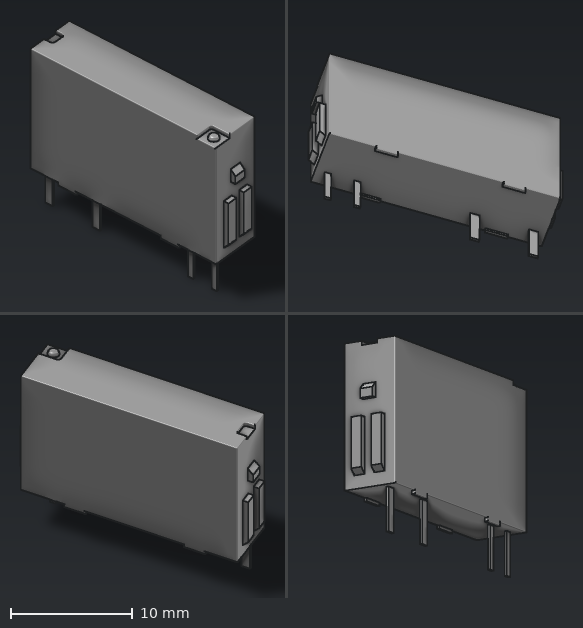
import cadquery as cq
import math

CASE_LENGTH = 20.0
CASE_WIDTH = 5.0
CASE_HEIGHT = 12.5
EDGE_RADIUS = 0.1

END_PROJECTION = 0.5
TAB_WIDTH = 1.2
TAB_BOTTOM = 7.5
TAB_HEIGHT = 1.3
RIB_WIDTH = 1.0
RIB_SPACING = 1.95
RIB_BOTTOM = 1.15
RIB_HEIGHT = 4.85

FOOT_LENGTH = 1.97
FOOT_THICKNESS = 0.3
FOOT_HEIGHT = 0.3
FOOT_CENTERS_X = (-6.03, 5.0)

RECESS_DEPTH = 0.4
RECESS_RADIUS = 0.3
CORNER_RECESS_LENGTH = 2.0
CORNER_RECESS_WIDTH = 1.78
END_RECESS_LENGTH = 0.99
END_RECESS_WIDTH = 1.47

BUTTON_RADIUS = 0.5
BUTTON_CROWN_RADIUS = 0.1
BUTTON_CENTER_X = 9.0
BUTTON_CENTER_Y = -1.58

PIN_PITCH = 2.55
PIN_THICKNESS = 0.2
PIN_LENGTH = 3.8
PIN_Y = -1.3
PIN_EMBED = 0.2
WIDE_PIN = 0.8
NARROW_PIN = 0.55
PINS = ((-3.5, WIDE_PIN), (-1.5, WIDE_PIN), (2.5, NARROW_PIN), (3.5, NARROW_PIN))

END_X = CASE_LENGTH / 2
SIDE_Y = CASE_WIDTH / 2
RECESS_FLOOR_Z = CASE_HEIGHT - RECESS_DEPTH


def block(x_range, y_range, z_range):
    """Box spanning the given (low, high) range on each axis."""
    lows, highs = zip(x_range, y_range, z_range)
    sizes = [high - low for low, high in zip(lows, highs)]
    return cq.Workplane("XY").box(*sizes, centered=False).translate(lows)


def make_case():
    """Case with feet and top recesses, rounded around the top and both long sides."""
    case = block((-END_X, END_X), (-SIDE_Y, SIDE_Y), (0, CASE_HEIGHT))

    for center_x in FOOT_CENTERS_X:
        foot_x = (center_x - FOOT_LENGTH / 2, center_x + FOOT_LENGTH / 2)
        for foot_y in ((-SIDE_Y, FOOT_THICKNESS - SIDE_Y), (SIDE_Y - FOOT_THICKNESS, SIDE_Y)):
            case = case.union(block(foot_x, foot_y, (-FOOT_HEIGHT, 0)))
    case = case.clean()

    recess_z = (RECESS_FLOOR_Z, CASE_HEIGHT)
    corner_recess = block(
        (END_X - CORNER_RECESS_LENGTH, END_X), (-SIDE_Y, CORNER_RECESS_WIDTH - SIDE_Y), recess_z
    ).edges("|Z and <X and >Y").fillet(RECESS_RADIUS)
    end_recess = block(
        (-END_X, END_RECESS_LENGTH - END_X), (-END_RECESS_WIDTH / 2, END_RECESS_WIDTH / 2), recess_z
    ).edges("|Z and >X").fillet(RECESS_RADIUS)
    case = case.cut(corner_recess).cut(end_recess)

    return case.faces(">Z or <Y or >Y").edges().fillet(EDGE_RADIUS)


def make_button():
    """Round button with a domed edge, flush with the top of the case."""
    diagonal = math.sqrt(0.5)
    arc_middle = (
        BUTTON_CROWN_RADIUS + (BUTTON_RADIUS - BUTTON_CROWN_RADIUS) * diagonal,
        RECESS_FLOOR_Z + RECESS_DEPTH * diagonal,
    )
    profile = (
        cq.Workplane("XZ")
        .moveTo(0, RECESS_FLOOR_Z)
        .lineTo(BUTTON_RADIUS, RECESS_FLOOR_Z)
        .threePointArc(arc_middle, (BUTTON_CROWN_RADIUS, CASE_HEIGHT))
        .lineTo(0, CASE_HEIGHT)
        .close()
    )
    return profile.revolve(360, (0, 0, 0), (0, 1, 0)).translate((BUTTON_CENTER_X, BUTTON_CENTER_Y, 0))


def end_lug(width, center_y, bottom, height, slope_at_top):
    """Lug on the +X end face whose top or bottom slopes back to the case at 45 degrees."""
    top = bottom + height
    if slope_at_top:
        outer_z = (bottom, top - END_PROJECTION)
    else:
        outer_z = (bottom + END_PROJECTION, top)
    outer_x = END_X + END_PROJECTION
    outline = [(END_X, bottom), (outer_x, outer_z[0]), (outer_x, outer_z[1]), (END_X, top)]
    return (
        cq.Workplane("XZ", origin=(0, center_y, 0))
        .polyline(outline)
        .close()
        .extrude(width / 2, both=True)
    )


def make_end_lugs():
    """Tab and two ribs for the +X end face."""
    lugs = end_lug(TAB_WIDTH, 0, TAB_BOTTOM, TAB_HEIGHT, True)
    for center_y in (-RIB_SPACING / 2, RIB_SPACING / 2):
        lugs = lugs.union(end_lug(RIB_WIDTH, center_y, RIB_BOTTOM, RIB_HEIGHT, False))
    return lugs


def make_pin(center_x, width):
    """Flat pin hanging below the case, with its root embedded in the case."""
    return block(
        (center_x - width / 2, center_x + width / 2),
        (PIN_Y - PIN_THICKNESS / 2, PIN_Y + PIN_THICKNESS / 2),
        (-PIN_LENGTH, PIN_EMBED),
    )


end_lugs = make_end_lugs()
result = make_case().union(make_button()).union(end_lugs).union(end_lugs.mirror("YZ"))
for step, width in PINS:
    result = result.union(make_pin(step * PIN_PITCH, width))